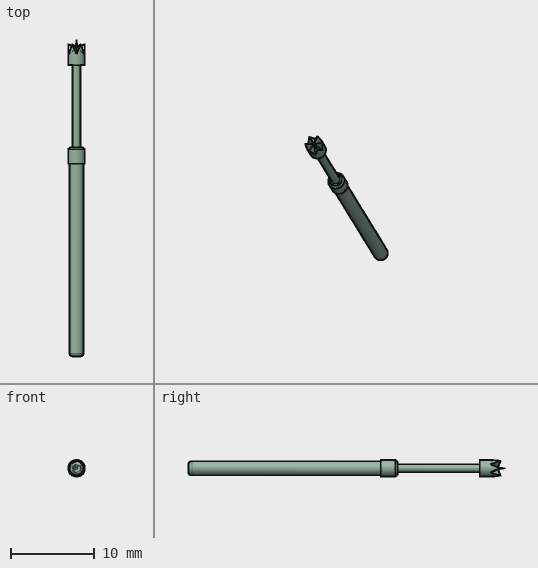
import cadquery as cq
import math

TOTAL_LENGTH = 37.8

BARREL_RADIUS = 0.85
TAIL_ROUNDING = 0.4

COLLAR_RADIUS = 1.0
COLLAR_START = 23.0
COLLAR_END = 25.0
COLLAR_CHAMFER_LENGTH = 0.25
COLLAR_MOUTH_RADIUS = 0.75

STEM_RADIUS = 0.5
HEAD_RADIUS = 1.0
HEAD_LENGTH = 3.0
HEAD_START = TOTAL_LENGTH - HEAD_LENGTH

TOOTH_COUNT = 6
TOOTH_TIP_DROP = 0.5
GROOVE_CENTER_DROP = 0.85
GROOVE_RIM_DROP = 1.65
CUTTER_MARGIN = 0.5

NEEDLE_RADIUS = 0.12


def make_turned_body():
    """Revolve the barrel, collar, stem and uncut head about the Y axis."""
    corner = TAIL_ROUNDING * (1 - math.sqrt(0.5))
    head_top = TOTAL_LENGTH - TOOTH_TIP_DROP
    profile = (
        cq.Workplane("XY")
        .moveTo(0, 0)
        .lineTo(BARREL_RADIUS - TAIL_ROUNDING, 0)
        .threePointArc((BARREL_RADIUS - corner, corner), (BARREL_RADIUS, TAIL_ROUNDING))
        .lineTo(BARREL_RADIUS, COLLAR_START)
        .lineTo(COLLAR_RADIUS, COLLAR_START)
        .lineTo(COLLAR_RADIUS, COLLAR_END - COLLAR_CHAMFER_LENGTH)
        .lineTo(COLLAR_MOUTH_RADIUS, COLLAR_END)
        .lineTo(STEM_RADIUS, COLLAR_END)
        .lineTo(STEM_RADIUS, HEAD_START)
        .lineTo(HEAD_RADIUS, HEAD_START)
        .lineTo(HEAD_RADIUS, head_top)
        .lineTo(0, head_top)
        .close()
    )
    return profile.revolve(360, (0, 0, 0), (0, 1, 0))


def make_groove_cutter():
    """V groove running from the axis out along +Z, its bottom falling toward the rim."""
    half_pitch = math.pi / TOOTH_COUNT
    fall = (GROOVE_RIM_DROP - GROOVE_CENTER_DROP) / HEAD_RADIUS
    rise_to_tip = fall * HEAD_RADIUS * math.cos(half_pitch) + GROOVE_CENTER_DROP - TOOTH_TIP_DROP
    flank_slope = rise_to_tip / (HEAD_RADIUS * math.sin(half_pitch))

    reach = HEAD_RADIUS + CUTTER_MARGIN
    half_width = reach * math.tan(half_pitch)
    bottom_center = TOTAL_LENGTH - GROOVE_CENTER_DROP
    bottom_rim = bottom_center - fall * reach
    top_rim = bottom_rim + flank_slope * half_width
    ceiling = max(top_rim, TOTAL_LENGTH) + CUTTER_MARGIN

    axis_low = cq.Vector(0, bottom_center, 0)
    axis_high = cq.Vector(0, ceiling, 0)
    rim_low = cq.Vector(0, bottom_rim, reach)
    left_low = cq.Vector(-half_width, top_rim, reach)
    left_high = cq.Vector(-half_width, ceiling, reach)
    right_low = cq.Vector(half_width, top_rim, reach)
    right_high = cq.Vector(half_width, ceiling, reach)
    outlines = [
        [axis_low, rim_low, left_low],
        [axis_low, right_low, rim_low],
        [axis_low, left_low, left_high, axis_high],
        [axis_low, axis_high, right_high, right_low],
        [axis_high, left_high, right_high],
        [rim_low, right_low, right_high, left_high, left_low],
    ]
    faces = [cq.Face.makeFromWires(cq.Wire.makePolygon(points, close=True)) for points in outlines]
    return cq.Workplane(cq.Solid.makeSolid(cq.Shell.makeShell(faces)))


def cut_crown(body):
    """Cut the grooves at equal angles, one pointing straight up (+Z)."""
    cutter = make_groove_cutter()
    for index in range(TOOTH_COUNT):
        angle = index * 360 / TOOTH_COUNT
        body = body.cut(cutter.rotate((0, 0, 0), (0, 1, 0), angle))
    return body


def make_needle():
    """Pointed needle on the axis, rooted in the head below the grooves."""
    root = cq.Vector(0, TOTAL_LENGTH - GROOVE_RIM_DROP, 0)
    shank_length = GROOVE_RIM_DROP - GROOVE_CENTER_DROP
    shank = cq.Solid.makeCylinder(NEEDLE_RADIUS, shank_length, root, cq.Vector(0, 1, 0))
    point_base = cq.Vector(0, TOTAL_LENGTH - GROOVE_CENTER_DROP, 0)
    point = cq.Solid.makeCone(NEEDLE_RADIUS, 0, GROOVE_CENTER_DROP, point_base, cq.Vector(0, 1, 0))
    return cq.Workplane(shank).union(cq.Workplane(point))


result = cut_crown(make_turned_body()).union(make_needle())